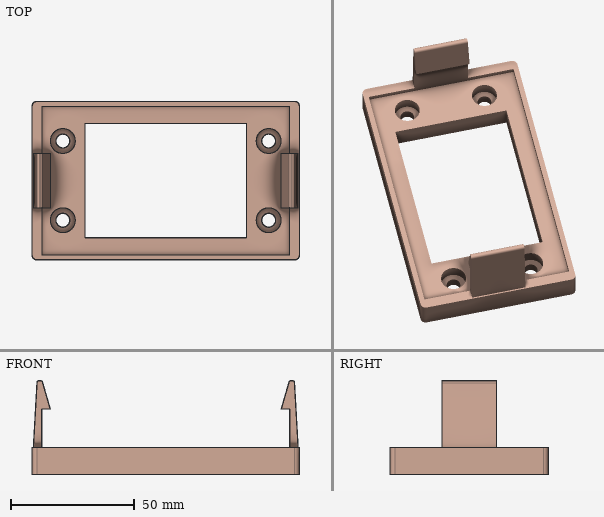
import cadquery as cq

length = 108.0
width = 64.0
total_height = 38.0
frame_height = 11.0
corner_radius = 2.0
window_length = 65.0
window_width = 46.0

end_rim = 4.0
side_rim = 2.0
recess_depth = 2.0
floor_z = frame_height - recess_depth

hole_spacing_x = 83.0
hole_spacing_y = 32.0
hole_diameter = 5.5
counterbore_diameter = 10.0
counterbore_depth = 5.0

clip_width = 22.0
clip_foot_inset = 0.5
clip_tip_outer_inset = 2.0
clip_tip_inner_inset = 4.1
hook_inset = 7.5
hook_z = 26.5
tip_radius = 1.0


def make_frame():
    """Rounded plate with a top recess and a window through it."""
    plate = cq.Workplane("XY").box(length, width, frame_height, centered=(True, True, False))
    plate = plate.edges("|Z").fillet(corner_radius)
    recess = (
        cq.Workplane("XY")
        .workplane(offset=floor_z)
        .rect(length - 2 * end_rim, width - 2 * side_rim)
        .extrude(recess_depth)
    )
    window = cq.Workplane("XY").rect(window_length, window_width).extrude(frame_height)
    return plate.cut(recess).cut(window)


def cut_screw_holes(body):
    """Four holes counterbored from the recess floor."""
    return (
        body.copyWorkplane(cq.Workplane("XY", origin=(0, 0, floor_z)))
        .rect(hole_spacing_x, hole_spacing_y, forConstruction=True)
        .vertices()
        .cboreHole(hole_diameter, counterbore_diameter, counterbore_depth)
    )


def make_left_clip():
    """Tapered upright with an inward hook and a rounded tip."""
    end_x = -length / 2
    profile = [
        (end_x + clip_foot_inset, frame_height),
        (end_x + clip_tip_outer_inset, total_height),
        (end_x + clip_tip_inner_inset, total_height),
        (end_x + hook_inset, hook_z),
        (end_x + end_rim, hook_z),
        (end_x + end_rim, frame_height),
    ]
    clip = cq.Workplane("XZ").polyline(profile).close().extrude(clip_width / 2, both=True)
    return clip.faces(">Z").edges("|Y").fillet(tip_radius)


left_clip = make_left_clip()
right_clip = left_clip.mirror("YZ")
result = cut_screw_holes(make_frame()).union(left_clip).union(right_clip)